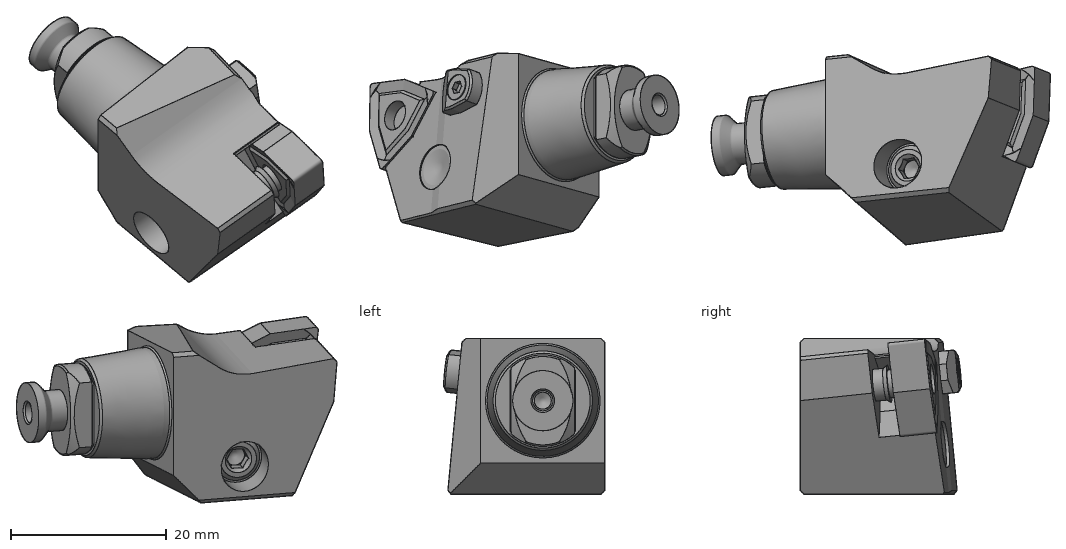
import cadquery as cq
import math

BLOCK_TOP = 8.0
BLOCK_BOTTOM = -12.0
BLOCK_REACH = 29.4
CORNER_CUT = 4.0
EDGE_BEVEL = 0.5
FAR = 50.4

RAKE_TILT = 6.0
RAKE_FACE_Y = 11.42

SHANK_RADIUS = 7.15
SHANK_TIP_RADIUS = 6.4
SHANK_LENGTH = 9.5
SHANK_COLLAR = 0.95
SHANK_BEVEL = 0.3
SHANK_ROOT_FILLET = 0.2

STUD_FLANGE_RADIUS = 5.9
STUD_FLANGE_LENGTH = 3.02
STUD_FLANGE_BEVEL = 0.2
STUD_FLAT_HALF_WIDTH = 4.07
STUD_RIM_RADIUS = 5.7
STUD_RIM_HALF_WIDTH = 4.2
STUD_RIM_LENGTH = 0.25
STUD_FILLET = 0.25
STUD_NECK_RADIUS = 2.65
STUD_HEAD_RADIUS = 3.85
STUD_HEAD_THICKNESS = 1.15
STUD_TIP_X = -17.0
STUD_TAIL_RADIUS = 3.8
STUD_TAIL_LENGTH = 5.05
STUD_BORE_RADIUS = 1.3
STUD_BORE_DEPTH = 4.2
STUD_DRILL_RADIUS = 1.1
STUD_DRILL_DEPTH = 5.9
STUD_BORE_MOUTH_RADIUS = 1.5

INSERT_CIRCLE_RADIUS = 4.75
INSERT_THICKNESS = 4.75
INSERT_NOSE_RADIUS = 0.4
INSERT_HOLE_RADIUS = 1.95
INSERT_CENTRE = (20.05, 2.77)
APPROACH = 5.0
NOSE_ANGLE = 80.0
LAND_WIDTH = 0.13
GROOVE_FLOOR_INSET = 1.4
GROOVE_END_INSET = 1.75
GROOVE_DEPTH = 0.3
GROOVE_REACH = 5.95

POCKET_DEPTH = 7.5
LIP_SLANT = 0.2
LIP_BLUNT = 0.43

RELIEF_START = 10.5
RELIEF_RAMP = 1.45
RELIEF_DEPTH = 0.25

LEVER_SHIFT = 0.13
LEVER_RADIUS = 1.8
LEVER_HEAD_DEPTH = 1.7
SLEEVE_RADIUS = 2.05
SLEEVE_FLANGE_RADIUS = 2.4
SLEEVE_TOP_DEPTH = 5.63
SLEEVE_FLANGE_THICKNESS = 0.55
SLEEVE_SEAT = 2.95

SCREW_AXIS = (11.8, -5.63)
SCREW_RADIUS = 3.0
SCREW_HOLE_RADIUS = 3.25
SCREW_START = 0.4
SCREW_END = 15.95
SCREW_BEVEL = 0.6
SCREW_DISH_DEPTH = 0.65
SOCKET_WIDTH = 2.5
SOCKET_DEPTH = 1.7
SOCKET_MOUTH_RADIUS = 1.75

NOZZLE_HEIGHT = 2.0
NOZZLE_BEVEL = 0.25
NOZZLE_CENTRE = (6.65, 3.6)

NOZZLE_SCREW_HEAD_RADIUS = 1.7
NOZZLE_SCREW_HEAD_DROP = 0.13
NOZZLE_SCREW_RADIUS = 1.0
NOZZLE_SCREW_END = 4.2
NOZZLE_SOCKET_WIDTH = 1.5
NOZZLE_SOCKET_DEPTH = 0.75

LEAN = math.tan(math.radians(RAKE_TILT))
seat_normal = cq.Vector(-LEAN, -1, -LEAN)
seat_x = cq.Vector(1, -LEAN, 0)


def seat(depth=0.0):
    """Workplane parallel to the rake face, at the given depth below it."""
    plane = cq.Plane(origin=(0, RAKE_FACE_Y, 0), xDir=seat_x.toTuple(), normal=seat_normal.toTuple())
    return cq.Workplane(plane).workplane(offset=depth)


def polar(radius, angle):
    return (radius * math.cos(math.radians(angle)), radius * math.sin(math.radians(angle)))


def shifted(point, offset):
    return (point[0] + offset[0], point[1] + offset[1])


def along(start, end, share):
    """Point on the line from start to end; shares above 1 lie past the end."""
    return (start[0] + share * (end[0] - start[0]), start[1] + share * (end[1] - start[1]))


def seat_side(axis=(0, 0)):
    """Workplane square to the rake face through the given seat point, with depth along its Y."""
    origin = seat().center(*axis).plane.origin
    plane = cq.Plane(
        origin=origin.toTuple(),
        xDir=seat_x.toTuple(),
        normal=seat_x.cross(seat_normal).toTuple(),
    )
    return cq.Workplane(plane)


def trigon_corners(inset=0.0):
    """Corners of the six-sided insert, pointed and blunt in turn, starting at the cutting nose."""
    inner_radius = INSERT_CIRCLE_RADIUS - inset
    pointed = inner_radius / math.sin(math.radians(NOSE_ANGLE / 2))
    blunt = inner_radius / math.sin(math.radians(120 - NOSE_ANGLE / 2))
    nose_direction = APPROACH + NOSE_ANGLE / 2
    corners = []
    for side in range(3):
        corners.append(shifted(INSERT_CENTRE, polar(pointed, nose_direction + 120 * side)))
        corners.append(shifted(INSERT_CENTRE, polar(blunt, nose_direction + 60 + 120 * side)))
    return corners


def block():
    """Block trimmed by the leaning rake face, the +Y corner cut and the edge bevels."""
    outline = [
        (0, BLOCK_TOP),
        (BLOCK_REACH, BLOCK_TOP),
        (BLOCK_REACH, BLOCK_BOTTOM),
        (CORNER_CUT, BLOCK_BOTTOM),
        (0, BLOCK_BOTTOM + CORNER_CUT),
    ]
    body = cq.Workplane("XZ").polyline(outline).close().extrude(FAR, both=True)

    b = EDGE_BEVEL
    front_section = [
        (FAR, BLOCK_TOP),
        (-BLOCK_TOP + b, BLOCK_TOP),
        (-BLOCK_TOP, BLOCK_TOP - b),
        (-BLOCK_TOP, BLOCK_BOTTOM + b),
        (-BLOCK_TOP + b, BLOCK_BOTTOM),
        (FAR, BLOCK_BOTTOM),
    ]
    body = body.intersect(cq.Workplane("YZ").polyline(front_section).close().extrude(FAR))

    level = math.hypot(1, LEAN)

    def rake_at(height):
        return (RAKE_FACE_Y - LEAN * height) / level

    rake_section = [
        (-FAR, BLOCK_TOP),
        (rake_at(BLOCK_TOP) - b, BLOCK_TOP),
        (rake_at(BLOCK_TOP - b), BLOCK_TOP - b),
        (rake_at(BLOCK_BOTTOM + b), BLOCK_BOTTOM + b),
        (rake_at(BLOCK_BOTTOM) - b, BLOCK_BOTTOM),
        (-FAR, BLOCK_BOTTOM),
    ]
    level_plane = cq.Plane(origin=(0, 0, 0), xDir=(LEAN, 1, 0), normal=seat_x.toTuple())
    body = body.intersect(cq.Workplane(level_plane).polyline(rake_section).close().extrude(FAR, both=True))

    plan = [(0, -FAR), (0, BLOCK_TOP), (FAR, BLOCK_TOP + FAR), (FAR, -FAR)]
    return body.intersect(cq.Workplane("XY").polyline(plan).close().extrude(FAR, both=True))


def nose_prism():
    """Chip flute, rising top and nose sides, swept square to the rake face."""
    flute_radius = 6.97
    flute_slope = 34.0
    flute_low = (12.15, 6.4)
    rise_start = (12.85, 6.4)
    nose_x = 24.53
    nose_bevel = 0.5
    knee_y = 1.75
    lower_angle = APPROACH + 20

    def on_flute(angle):
        return shifted(flute_low, (-flute_radius * math.sin(math.radians(angle)),
                                   flute_radius * (1 - math.cos(math.radians(angle)))))

    slope_foot = on_flute(flute_slope)
    slope_run = 12.6
    slope_head = (slope_foot[0] - slope_run,
                  slope_foot[1] + slope_run * math.tan(math.radians(flute_slope)))
    back = math.tan(math.radians(APPROACH))
    nose_y = rise_start[1] + (nose_x - rise_start[0]) * back
    knee = (nose_x - (nose_y - knee_y) * back, knee_y)
    low_y = -25.2
    low = (knee[0] - (knee_y - low_y) * math.tan(math.radians(lower_angle)), low_y)
    return (
        seat(-FAR / 2)
        .moveTo(*slope_head)
        .lineTo(*slope_foot)
        .threePointArc(on_flute(flute_slope / 2), flute_low)
        .lineTo(*rise_start)
        .lineTo(nose_x - nose_bevel, nose_y - nose_bevel * back)
        .lineTo(nose_x - nose_bevel * back, nose_y - nose_bevel)
        .lineTo(*knee)
        .lineTo(*low)
        .lineTo(-FAR, low_y)
        .lineTo(-FAR, slope_head[1])
        .close()
        .extrude(2 * FAR)
    )


def insert_pocket():
    """Open pocket whose two closed walls follow the sides of the insert."""
    corners = trigon_corners()
    upper_blunt, left_corner, left_blunt, lower_corner = corners[1:5]
    lip = along(upper_blunt, left_corner, LIP_BLUNT)
    run_out = along(left_blunt, lower_corner, 2)
    outside = 37.8
    outline = [
        left_corner,
        left_blunt,
        run_out,
        (outside, run_out[1]),
        (outside, outside),
        (lip[0] - LIP_SLANT, outside),
        (lip[0] - LIP_SLANT, lip[1] + LIP_SLANT),
        lip,
    ]
    return seat(-FAR / 2).polyline(outline).close().extrude(FAR / 2 + POCKET_DEPTH)


def rake_relief():
    """Shallow step in the rake face of the block, with a ramp next to the nozzle tip."""
    profile = [
        (RELIEF_START, -FAR),
        (RELIEF_START, 0),
        (RELIEF_START + RELIEF_RAMP, RELIEF_DEPTH),
        (FAR, RELIEF_DEPTH),
        (FAR, -FAR),
    ]
    return seat_side().polyline(profile).close().extrude(FAR, both=True)


def shank():
    front = -SHANK_LENGTH
    fillet = SHANK_ROOT_FILLET
    profile = (
        cq.Workplane("XY")
        .moveTo(front, 0)
        .lineTo(front, SHANK_TIP_RADIUS - SHANK_BEVEL)
        .lineTo(front + SHANK_BEVEL, SHANK_TIP_RADIUS)
        .lineTo(-SHANK_COLLAR, SHANK_RADIUS)
        .lineTo(-fillet, SHANK_RADIUS)
        .radiusArc((0, SHANK_RADIUS + fillet), fillet)
        .lineTo(fillet, SHANK_RADIUS + fillet)
        .lineTo(fillet, 0)
        .close()
    )
    return profile.revolve(360, (0, 0, 0), (1, 0, 0))


def stud_tail():
    return cq.Workplane("YZ", origin=(-SHANK_LENGTH, 0, 0)).circle(STUD_TAIL_RADIUS).extrude(STUD_TAIL_LENGTH)


def lever_centre():
    return shifted(INSERT_CENTRE, (LEVER_SHIFT, 0))


def make_holder():
    body = block().intersect(nose_prism())
    body = body.cut(rake_relief())
    body = body.cut(insert_pocket())
    body = body.union(shank())
    body = body.cut(stud_tail())
    body = body.cut(seat(-FAR / 2).center(*SCREW_AXIS).circle(SCREW_RADIUS).extrude(FAR))
    body = body.cut(seat(SCREW_END - SCREW_BEVEL).center(*SCREW_AXIS).circle(SCREW_HOLE_RADIUS).extrude(FAR))
    body = body.cut(nozzle_screw_form())
    sleeve_hole = seat(POCKET_DEPTH).center(*lever_centre()).circle(SLEEVE_RADIUS).extrude(SLEEVE_SEAT)
    return body.cut(sleeve_hole)


def make_pull_stud():
    flange_face = -SHANK_LENGTH - STUD_FLANGE_LENGTH
    rim_face = -SHANK_LENGTH - STUD_RIM_LENGTH
    head_back = STUD_TIP_X + STUD_HEAD_THICKNESS
    cone_end = head_back + STUD_HEAD_RADIUS - STUD_NECK_RADIUS
    profile = [
        (STUD_TIP_X, 0),
        (STUD_TIP_X, STUD_HEAD_RADIUS),
        (head_back, STUD_HEAD_RADIUS),
        (cone_end, STUD_NECK_RADIUS),
        (flange_face, STUD_NECK_RADIUS),
        (flange_face, STUD_FLANGE_RADIUS - STUD_FLANGE_BEVEL),
        (flange_face + STUD_FLANGE_BEVEL, STUD_FLANGE_RADIUS),
        (rim_face, STUD_FLANGE_RADIUS),
        (rim_face, 0),
    ]
    stud = cq.Workplane("XY").polyline(profile).close().revolve(360, (0, 0, 0), (1, 0, 0))
    reach = 0.05
    for ring_x in (head_back, cone_end):
        ring = cq.selectors.BoxSelector(
            (ring_x - reach, -FAR, -FAR), (ring_x + reach, FAR, FAR), boundingbox=True
        )
        stud = stud.edges(ring).fillet(STUD_FILLET)
    flats = cq.Workplane("XY").box(FAR, 2 * STUD_FLAT_HALF_WIDTH, FAR)
    stud = stud.intersect(flats)

    cone_offset = 5.92
    cone_radius = 9.6
    cone_length = 4.2
    cone_steepness = 0.85
    cone_growth = cone_length / cone_steepness
    for side in (1, -1):
        easing = (
            cq.Workplane("YZ", origin=(flange_face, -side * cone_offset, 0))
            .circle(cone_radius)
            .workplane(offset=cone_length)
            .circle(cone_radius + cone_growth)
            .loft()
        )
        head_room = cq.Workplane("YZ", origin=(flange_face, 0, 0)).rect(FAR, FAR).extrude(-FAR)
        stud = stud.intersect(easing.union(head_room))

    rim = (
        cq.Workplane("YZ", origin=(-SHANK_LENGTH, 0, 0))
        .circle(STUD_RIM_RADIUS).extrude(-STUD_RIM_LENGTH)
        .intersect(cq.Workplane("XY").box(FAR, 2 * STUD_RIM_HALF_WIDTH, FAR))
    )
    stud = stud.union(rim).union(stud_tail())
    drill_end = STUD_TIP_X + STUD_DRILL_DEPTH
    bore_profile = [
        (STUD_TIP_X, 0),
        (STUD_TIP_X, STUD_BORE_MOUTH_RADIUS),
        (STUD_TIP_X + STUD_BORE_MOUTH_RADIUS - STUD_BORE_RADIUS, STUD_BORE_RADIUS),
        (STUD_TIP_X + STUD_BORE_DEPTH, STUD_BORE_RADIUS),
        (STUD_TIP_X + STUD_BORE_DEPTH, STUD_DRILL_RADIUS),
        (drill_end, STUD_DRILL_RADIUS),
        (drill_end + STUD_DRILL_RADIUS / 2, 0),
    ]
    bore = cq.Workplane("XY").polyline(bore_profile).close().revolve(360, (0, 0, 0), (1, 0, 0))
    return stud.cut(bore)


def chip_groove(face_depth, inward):
    """V-shaped ring in one face of the insert, between the cutting land and the raised middle."""

    def tapered_block(face_inset):
        return (
            seat(face_depth).polyline(trigon_corners(face_inset)).close()
            .workplane(offset=inward * GROOVE_DEPTH).polyline(trigon_corners(GROOVE_FLOOR_INSET)).close()
            .loft(ruled=True)
        )

    ring = tapered_block(LAND_WIDTH).cut(tapered_block(GROOVE_END_INSET))
    reach = seat(face_depth).center(*INSERT_CENTRE).circle(GROOVE_REACH).extrude(inward * GROOVE_DEPTH)
    return ring.intersect(reach)


def make_insert():
    body = seat().polyline(trigon_corners()).close().extrude(INSERT_THICKNESS)
    middle = seat(INSERT_THICKNESS / 2).center(*INSERT_CENTRE).plane.origin
    nose_distance = 1.3 * INSERT_CIRCLE_RADIUS
    body = (
        body.edges(cq.selectors.ParallelDirSelector(seat_normal))
        .filter(lambda edge: (edge.Center() - middle).Length > nose_distance)
        .fillet(INSERT_NOSE_RADIUS)
    )
    body = body.cut(chip_groove(0, 1))
    body = body.cut(chip_groove(INSERT_THICKNESS, -1))
    return body.cut(seat().center(*INSERT_CENTRE).circle(INSERT_HOLE_RADIUS).extrude(INSERT_THICKNESS))


def turned(axis, profile):
    """Solid of revolution about a line square to the rake face; profile points are (radius, depth)."""
    return seat_side(axis).polyline(profile).close().revolve(360, (0, 0, 0), (0, 1, 0))


def make_sleeve():
    """Flanged sleeve that stands in the pocket floor around the lever."""
    flange_end = SLEEVE_TOP_DEPTH + SLEEVE_FLANGE_THICKNESS
    return turned(lever_centre(), [
        (LEVER_RADIUS, SLEEVE_TOP_DEPTH),
        (SLEEVE_FLANGE_RADIUS, SLEEVE_TOP_DEPTH),
        (SLEEVE_RADIUS, flange_end),
        (SLEEVE_RADIUS, POCKET_DEPTH + SLEEVE_SEAT),
        (LEVER_RADIUS, POCKET_DEPTH + SLEEVE_SEAT),
    ])


def make_lever():
    """Round lever that reaches from the sleeve into the insert hole."""
    return turned(lever_centre(), [
        (0, LEVER_HEAD_DEPTH),
        (LEVER_RADIUS, LEVER_HEAD_DEPTH),
        (LEVER_RADIUS, POCKET_DEPTH + SLEEVE_SEAT),
        (0, POCKET_DEPTH + SLEEVE_SEAT),
    ])


def make_lever_screw():
    """Screw with a dished end at the rake face and a hexagon socket at the other end."""
    screw = turned(SCREW_AXIS, [
        (0, SCREW_START + SCREW_DISH_DEPTH),
        (SCREW_RADIUS - SCREW_BEVEL, SCREW_START),
        (SCREW_RADIUS, SCREW_START),
        (SCREW_RADIUS, SCREW_END - SCREW_BEVEL),
        (SCREW_RADIUS - SCREW_BEVEL, SCREW_END),
        (0, SCREW_END),
    ])
    socket_corner_radius = SOCKET_WIDTH / math.sqrt(3)
    socket_floor = SCREW_END - SOCKET_DEPTH
    socket = (
        seat(socket_floor).center(*SCREW_AXIS)
        .polygon(6, 2 * socket_corner_radius).extrude(SOCKET_DEPTH)
    )
    drill_point = turned(SCREW_AXIS, [
        (0, socket_floor - SOCKET_WIDTH / 4),
        (SOCKET_WIDTH / 2, socket_floor),
        (0, socket_floor),
    ])
    mouth = turned(SCREW_AXIS, [
        (0, SCREW_END - SOCKET_MOUTH_RADIUS),
        (SOCKET_MOUTH_RADIUS, SCREW_END),
        (0, SCREW_END),
    ])
    return screw.cut(socket).cut(drill_point).cut(mouth)


def make_nozzle():
    """Nozzle on the rake face: rounded tail, sides that widen, then a tip that slopes toward the insert."""
    axis_y = NOZZLE_CENTRE[1]
    tail_x = 3.9
    tail_side_x = 4.7
    tail_half_width = 2.15
    wide_x = 7.5
    wide_half_width = 2.75
    shoulder_x = 9.55
    tip_x = 10.25
    tip_half_width = 1.05
    outline = (
        seat()
        .moveTo(tail_side_x, axis_y - tail_half_width)
        .threePointArc((tail_x, axis_y), (tail_side_x, axis_y + tail_half_width))
        .lineTo(wide_x, axis_y + wide_half_width)
        .lineTo(shoulder_x, axis_y + wide_half_width)
        .lineTo(tip_x, axis_y + tip_half_width)
        .lineTo(tip_x, axis_y - tip_half_width)
        .lineTo(shoulder_x, axis_y - wide_half_width)
        .lineTo(wide_x, axis_y - wide_half_width)
        .close()
    )
    body = outline.extrude(-NOZZLE_HEIGHT).faces(cq.selectors.DirectionMinMaxSelector(-seat_normal))
    body = body.chamfer(NOZZLE_BEVEL)
    slope_start_x = 8.4
    tip_height = 0.92
    slope = (
        seat_side()
        .polyline([
            (slope_start_x, -NOZZLE_HEIGHT),
            (tip_x, -tip_height),
            (tip_x, -NOZZLE_HEIGHT),
        ])
        .close()
        .extrude(FAR, both=True)
    )
    head_room = seat(-NOZZLE_HEIGHT).center(*NOZZLE_CENTRE).circle(NOZZLE_SCREW_HEAD_RADIUS)
    return body.cut(slope).cut(head_room.extrude(NOZZLE_SCREW_HEAD_DROP)).cut(nozzle_screw_form())


def nozzle_screw_form():
    """Countersunk screw without its socket; it also shapes the matching holes."""
    head_top = NOZZLE_SCREW_HEAD_DROP - NOZZLE_HEIGHT
    return turned(NOZZLE_CENTRE, [
        (0, head_top),
        (NOZZLE_SCREW_HEAD_RADIUS, head_top),
        (NOZZLE_SCREW_RADIUS, head_top + NOZZLE_SCREW_HEAD_RADIUS - NOZZLE_SCREW_RADIUS),
        (NOZZLE_SCREW_RADIUS, NOZZLE_SCREW_END),
        (0, NOZZLE_SCREW_END),
    ])


def make_nozzle_screw():
    head_top = NOZZLE_SCREW_HEAD_DROP - NOZZLE_HEIGHT
    corner_diameter = 2 * NOZZLE_SOCKET_WIDTH / math.sqrt(3)
    socket = seat(head_top).center(*NOZZLE_CENTRE).polygon(6, corner_diameter).extrude(NOZZLE_SOCKET_DEPTH)
    return nozzle_screw_form().cut(socket)


holder = make_holder()
pull_stud = make_pull_stud()
insert = make_insert()
sleeve = make_sleeve()
lever = make_lever()
lever_screw = make_lever_screw()
nozzle = make_nozzle()
nozzle_screw = make_nozzle_screw()

result = cq.Compound.makeCompound([
    holder.val(),
    pull_stud.val(),
    insert.val(),
    sleeve.val(),
    lever.val(),
    lever_screw.val(),
    nozzle.val(),
    nozzle_screw.val(),
])